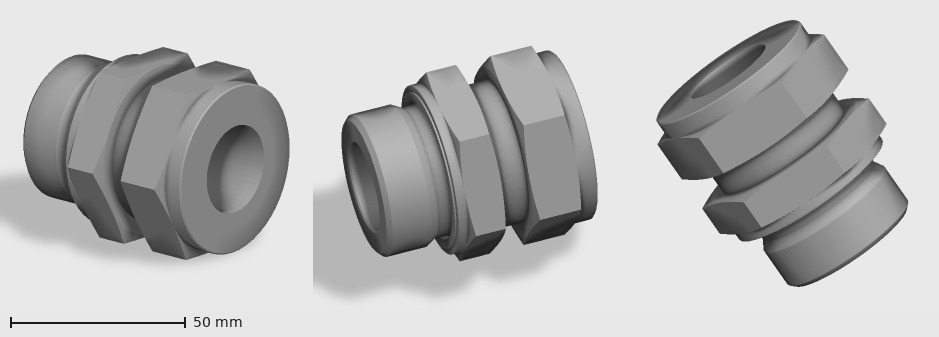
import cadquery as cq
import math

total_length = 62.3
across_flats = 50.0
hex_chamfer_angle = 15.0

spigot_radius = 21.05
spigot_end = 13.2
spigot_chamfer = 1.45
undercut_radius = 19.4
undercut_start = 16.15

collar_radius = across_flats / 2
front_collar_start = 20.05
front_collar_chamfer = 0.1
rear_collar_chamfer = 0.4
neck_radius = spigot_radius

front_hex_start = 22.9
front_hex_end = 34.0
rear_hex_start = 42.35
rear_hex_end = 56.9

bore_radius = 13.0
bore_chamfer = 0.5

gasket_start = 19.55
gasket_outer_radius = 23.1
gasket_inner_radius = 20.45

ramp_start = 20.8
gasket_end = ramp_start + gasket_inner_radius - undercut_radius


def revolve_about_x(points):
    """Solid of revolution of a closed (x, radius) outline about the X axis."""
    return cq.Workplane("XY").polyline(points).close().revolve(360, (0, 0, 0), (1, 0, 0))


def chamfered_hexagon(x_start, x_end):
    """Hexagon with corners along Y, its corners turned off by a cone at both ends."""
    flat_radius = across_flats / 2
    corner_radius = across_flats / math.sqrt(3)
    run = (corner_radius - flat_radius) * math.tan(math.radians(hex_chamfer_angle))
    prism = (
        cq.Workplane("YZ", origin=(x_start, 0, 0))
        .polygon(6, 2 * corner_radius)
        .extrude(x_end - x_start)
    )
    envelope = revolve_about_x([
        (x_start, 0),
        (x_start, flat_radius),
        (x_start + run, corner_radius),
        (x_end - run, corner_radius),
        (x_end, flat_radius),
        (x_end, 0),
    ])
    return prism.intersect(envelope)


def turned_profile():
    """Spigot, undercut, gasket recess, collars and neck as one hollow turned shape."""
    return revolve_about_x([
        (0, bore_radius + bore_chamfer),
        (0, spigot_radius - spigot_chamfer),
        (spigot_chamfer, spigot_radius),
        (spigot_end, spigot_radius),
        (undercut_start, undercut_radius),
        (ramp_start, undercut_radius),
        (gasket_end, gasket_inner_radius),
        (gasket_end, gasket_outer_radius),
        (front_collar_start, gasket_outer_radius),
        (front_collar_start, collar_radius - front_collar_chamfer),
        (front_collar_start + front_collar_chamfer, collar_radius),
        (front_hex_start, collar_radius),
        (front_hex_start, neck_radius),
        (rear_hex_end, neck_radius),
        (rear_hex_end, collar_radius),
        (total_length - rear_collar_chamfer, collar_radius),
        (total_length, collar_radius - rear_collar_chamfer),
        (total_length, bore_radius),
        (bore_chamfer, bore_radius),
    ])


def make_gland():
    """Gland with its two hexagons, bored through from end to end."""
    bore = (
        cq.Workplane("YZ")
        .circle(bore_radius)
        .extrude(total_length)
    )
    gland = turned_profile()
    for x_start, x_end in [(front_hex_start, front_hex_end), (rear_hex_start, rear_hex_end)]:
        gland = gland.union(chamfered_hexagon(x_start, x_end).cut(bore))
    return gland


def make_gasket():
    """Flat ring standing slightly proud of the front collar."""
    return (
        cq.Workplane("YZ", origin=(gasket_start, 0, 0))
        .circle(gasket_outer_radius)
        .circle(gasket_inner_radius)
        .extrude(gasket_end - gasket_start)
    )


gland = make_gland()
gasket = make_gasket()

result = cq.Compound.makeCompound([gland.solids().val(), gasket.val()])